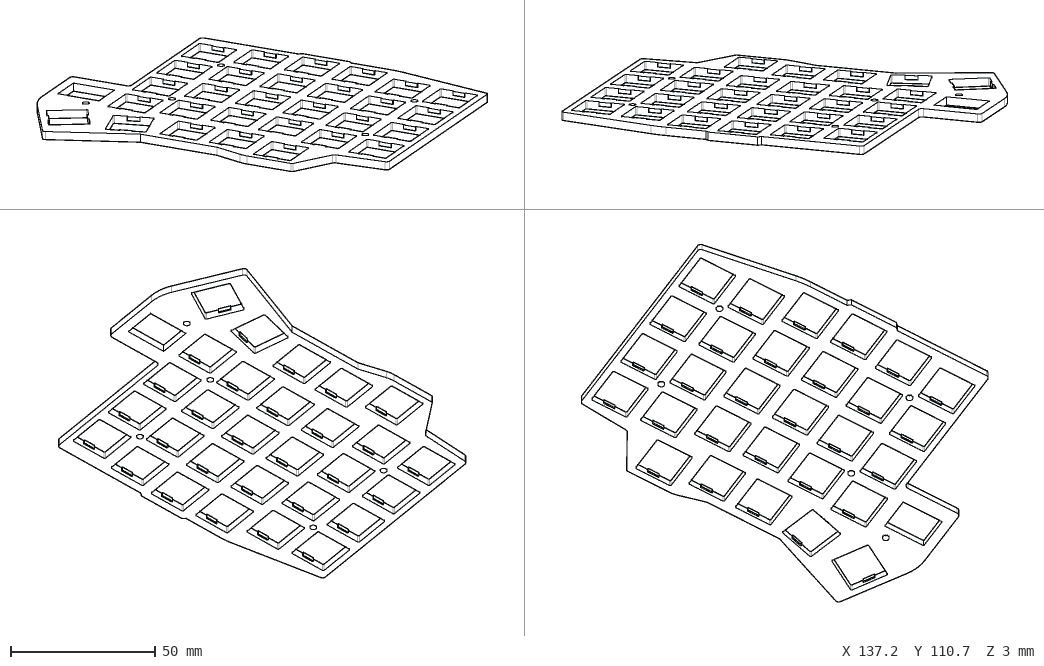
import cadquery as cq

length = 137.2
thickness = 3.0
cutter_height = 3 * thickness

key_pitch = 19.1
rows = 4
first_column_x = 32.1
column_bottom_y = [39.6, 42.0, 43.2, 42.0, 37.2, 35.7]

opening_size = 14.4
opening_corner_radius = 0.4
tab_width = 4.5
tab_depth = 0.48
tab_thickness = thickness / 2

thumb_keys = [
    (98.9, 18.8, 0),
    (79.7, 22.9, 0),
    (60.6, 22.9, 0),
    (39.5, 20.3, 15),
    (17.5, 16.6, 120),
]

window_length = 15.9
window_width = 12.1
window_x = 11.7
window_y = 42.4

screw_diameter = 2.3
screw_spacing = 2 * key_pitch
left_screw_x = 41.4
left_screw_y = 49.4
right_screw_x = 117.6
right_screw_y = 46.9
wing_screw_x = 16.6
wing_screw_y = 32.2

top_y = 109.8
crown_y = 110.7
wing_top_y = 54.3
wing_right_x = 22.6
thumb_edge_y = 12.3
thumb_low_y = 9.0
crown_left_x = 61.3
crown_right_x = 79.7
crown_run = 1.1
thumb_tip_y = -0.3
corner_radius = 1.2
foot_radius = 0.7
thumb_bend_radius = 11.0
shoulder_radius = 34.3
wing_bend_radius = 15.9
sharp = 0

outline_corners = [
    (wing_right_x, top_y, corner_radius),
    (crown_left_x - crown_run, top_y, sharp),
    (crown_left_x, crown_y, sharp),
    (crown_right_x, crown_y, sharp),
    (crown_right_x + crown_run, top_y, sharp),
    (98.6, top_y, shoulder_radius),
    (length, 103.2, corner_radius),
    (length, 25.2, corner_radius),
    (117.0, 23.7, corner_radius),
    (108.1, thumb_low_y, foot_radius),
    (89.2, thumb_low_y, thumb_bend_radius),
    (77.2, thumb_edge_y, sharp),
    (47.6, thumb_edge_y, sharp),
    (16.0, thumb_tip_y, corner_radius),
    (0, 27.0, wing_bend_radius),
    (0, wing_top_y, corner_radius),
    (wing_right_x, wing_top_y, corner_radius),
]


def plate_blank():
    points = [(x, y) for x, y, radius in outline_corners]
    plate = cq.Workplane("XY").polyline(points).close().extrude(thickness)
    for x, y, radius in outline_corners:
        if radius != sharp:
            corner = cq.selectors.NearestToPointSelector((x, y, thickness / 2))
            plate = plate.edges("|Z").edges(corner).fillet(radius)
    return plate


def block_cutter(size_x, size_y):
    return cq.Workplane("XY").box(size_x, size_y, cutter_height)


def switch_cutter():
    cutter = block_cutter(opening_size, opening_size).edges("|Z").fillet(opening_corner_radius)
    tab = cq.Workplane("XY").box(tab_width, 2 * tab_depth, tab_thickness)
    tab_z = thickness - tab_thickness / 2
    for side in (-1, 1):
        cutter = cutter.cut(tab.translate((0, side * opening_size / 2, tab_z)))
    return cutter


key_places = [
    (first_column_x + column * key_pitch, bottom_y + row * key_pitch, 0)
    for column, bottom_y in enumerate(column_bottom_y)
    for row in range(rows)
]

result = plate_blank()

switch = switch_cutter()
for x, y, angle in key_places + thumb_keys:
    turned = switch.rotate((0, 0, 0), (0, 0, 1), angle)
    result = result.cut(turned.translate((x, y, 0)))

result = result.cut(block_cutter(window_length, window_width).translate((window_x, window_y, 0)))

screw_places = [
    (left_screw_x, left_screw_y),
    (left_screw_x, left_screw_y + screw_spacing),
    (right_screw_x, right_screw_y),
    (right_screw_x, right_screw_y + screw_spacing),
    (wing_screw_x, wing_screw_y),
]
screw_cutter = cq.Workplane("XY").circle(screw_diameter / 2).extrude(cutter_height, both=True)
for x, y in screw_places:
    result = result.cut(screw_cutter.translate((x, y, 0)))